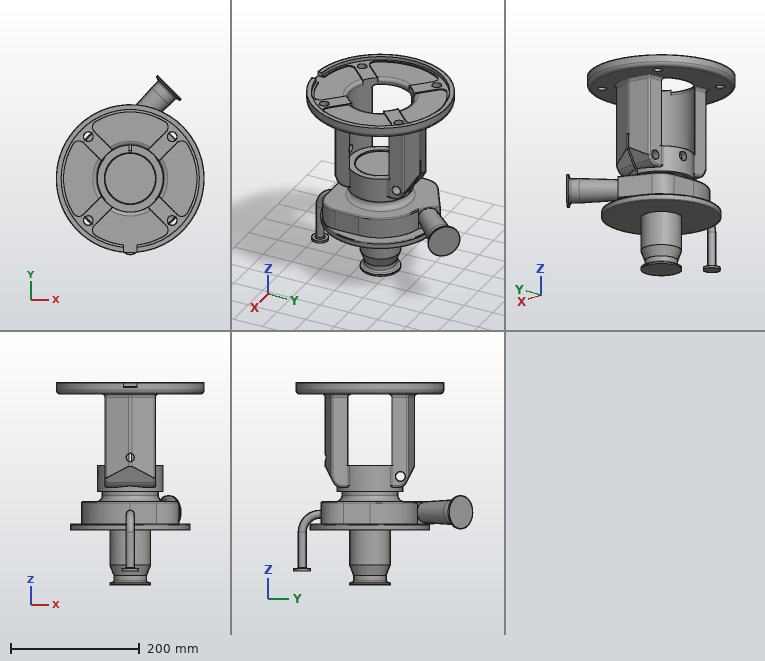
import cadquery as cq
import math

TOTAL_HEIGHT = 314.0
FLANGE_THICKNESS = 17.5
FLANGE_BOTTOM = TOTAL_HEIGHT - FLANGE_THICKNESS
COLLAR_TOP = 185.5
COLLAR_BOTTOM = 144.8
CASING_TOP = 129.0
CASING_BOTTOM = 94.5
COVER_BOTTOM = 84.8

FLANGE_RADIUS = 115.0
FLANGE_EDGE_FILLET = 6.3
RECESS_RADIUS = 107.5
RECESS_DEPTH = 5.5
BORE_RADIUS = 52.0
SECTOR_RADIUS = 103.5
SECTOR_DEPTH = 7.5
SECTOR_CORNER_FILLET = 10.0
SECTOR_LIP_FILLET = 6.0
SPOKE_WIDTH = 24.2
SPOKE_ANGLE = 45.0
NOTCH_WIDTH = 20.5
BOLT_CIRCLE_RADIUS = 92.0
SCREW_HOLE_COUNT = 4
SCREW_HOLE_DIAMETER = 14.8

LEG_WIDTH = 78.5
LEG_REACH = 69.5
LEG_INNER_REACH = 28.3
LEG_RIDGE_WIDTH = 5.3
LEG_FACE_ANGLE = 15.0
LEG_BOTTOM = 151.0
LEG_CHAMFER_TOP = 184.0
LEG_CHAMFER_ANGLE = 27.0
LEG_TOE_FILLET = 15.0
LEG_EDGE_FILLET = 3.0
LEG_ROOT_FILLET = 5.0
LEG_COLLAR_FILLET = 4.0
LEG_HOLE_DIAMETER = 12.5
LEG_HOLE_HEIGHT = 197.8
SLIT_WIDTH = 3.5
SLIT_TOP = 207.2
CLAMP_HOLE_REACH = 47.5
CLAMP_HOLE_HEIGHT = 168.3

COLLAR_RADIUS = 51.2
COLLAR_HOLE_HEIGHT = 173.3
SHAFT_RADIUS = 40.2
SHAFT_RECESS = 2.0
SHAFT_TOP = COLLAR_TOP - SHAFT_RECESS
SHAFT_CHAMFER = 1.0
NECK_RADIUS = 43.5
NECK_FILLET = 10.0

CASING_RADIUS = 75.7
CASING_CORNER_RADIUS = 34.5
CASING_EDGE_FILLET = 2.0
COVER_RADIUS = 93.0
COVER_EDGE_FILLET = 1.3
OUTLET_WALL_ANGLE = 30.0
OUTLET_FACE = 63.0

INLET_RADIUS = 31.7
INLET_CONE_TOP = 30.8
INLET_CONE_BOTTOM = 14.5
INLET_NECK_RADIUS = 25.5
INLET_FERRULE_RADIUS = 31.7

OUTLET_DIRECTION = 45.0
OUTLET_OFFSET = 57.0
OUTLET_HEIGHT = 112.7
OUTLET_END = 143.2
OUTLET_CONE_END = 123.5
OUTLET_ROOT_RADIUS = 16.3
OUTLET_RADIUS = 19.0
OUTLET_FERRULE_RADIUS = 25.7

FERRULE_RIM = 2.8
FERRULE_SLOPE = 1.3
FERRULE_FLARE = 2.5

DRAIN_RADIUS = 6.3
DRAIN_HEIGHT = 109.5
DRAIN_REACH = 105.2
DRAIN_BEND_RADIUS = 28.0
DRAIN_PIPE_BOTTOM = 27.0
DRAIN_FERRULE_RADIUS = 13.2
DRAIN_FERRULE_BOTTOM = 21.5
DRAIN_FERRULE_TOP = 25.0
DRAIN_FLARE = 1.5


def disc(radius, bottom, top):
    return cq.Workplane("XY").workplane(offset=bottom).circle(radius).extrude(top - bottom)


def box(x_size, y_size, bottom, top):
    return cq.Workplane("XY").workplane(offset=bottom).rect(x_size, y_size).extrude(top - bottom)


def sector_cutter():
    """Four shallow sectors between the spokes, running out over a rounded lip into the bore."""
    floor = TOTAL_HEIGHT - SECTOR_DEPTH
    sectors = disc(SECTOR_RADIUS, floor, TOTAL_HEIGHT)
    spoke = box(2 * FLANGE_RADIUS, SPOKE_WIDTH, floor - FLANGE_THICKNESS, TOTAL_HEIGHT)
    spokes = spoke.rotate((0, 0, 0), (0, 0, 1), SPOKE_ANGLE)
    spokes = spokes.union(spokes.mirror("YZ"))
    sectors = sectors.cut(spokes)
    sectors = sectors.cut(disc(BORE_RADIUS, floor, TOTAL_HEIGHT))
    corner_limit = (SECTOR_RADIUS + BORE_RADIUS) / 2
    corners = [
        edge
        for edge in sectors.edges("|Z").vals()
        if math.hypot(edge.Center().x, edge.Center().y) > corner_limit
    ]
    sectors = sectors.newObject(corners).fillet(SECTOR_CORNER_FILLET)
    lip = (
        cq.Workplane("XZ")
        .moveTo(BORE_RADIUS, floor)
        .lineTo(BORE_RADIUS + SECTOR_LIP_FILLET, floor)
        .radiusArc((BORE_RADIUS, floor - SECTOR_LIP_FILLET), -SECTOR_LIP_FILLET)
        .close()
        .revolve(360, (0, 0, 0), (0, 1, 0))
        .cut(spokes)
    )
    return sectors.union(lip)


def leg():
    """Lantern leg on the -Y side: a ridged bar with a sloping, rounded toe."""
    half_width = LEG_WIDTH / 2
    half_ridge = LEG_RIDGE_WIDTH / 2
    corner_reach = LEG_REACH - (half_width - half_ridge) * math.tan(math.radians(LEG_FACE_ANGLE))
    bar = (
        cq.Workplane("XY")
        .workplane(offset=LEG_BOTTOM)
        .polyline([
            (-half_width, -LEG_INNER_REACH),
            (-half_width, -corner_reach),
            (-half_ridge, -LEG_REACH),
            (half_ridge, -LEG_REACH),
            (half_width, -corner_reach),
            (half_width, -LEG_INNER_REACH),
        ])
        .close()
        .extrude(FLANGE_BOTTOM - LEG_BOTTOM)
    )
    toe_run = (LEG_CHAMFER_TOP - LEG_BOTTOM) * math.tan(math.radians(LEG_CHAMFER_ANGLE))
    toe_reach = LEG_REACH - toe_run
    side_profile = (
        cq.Workplane("YZ")
        .polyline([
            (-LEG_INNER_REACH, FLANGE_BOTTOM),
            (-LEG_REACH, FLANGE_BOTTOM),
            (-LEG_REACH, LEG_CHAMFER_TOP),
            (-toe_reach, LEG_BOTTOM),
            (-LEG_INNER_REACH, LEG_BOTTOM),
        ])
        .close()
        .extrude(half_width, both=True)
    )
    toe_edge = cq.selectors.NearestToPointSelector((0, -toe_reach, LEG_BOTTOM))
    side_profile = side_profile.edges(toe_edge).fillet(LEG_TOE_FILLET)
    bar = bar.intersect(side_profile)
    for side in (">X", "<X"):
        bar = bar.faces(side).edges("not(>Y or >Z)").fillet(LEG_EDGE_FILLET)
    return bar


def collar_fillets():
    """Concave fillets where the four leg sides run into the collar, each reaching back into its metal."""
    side = LEG_WIDTH / 2
    center_x = side + LEG_COLLAR_FILLET
    center_distance = COLLAR_RADIUS + LEG_COLLAR_FILLET
    center_y = math.sqrt(center_distance ** 2 - center_x ** 2)
    collar_share = COLLAR_RADIUS / center_distance
    collar_tangent = (center_x * collar_share, center_y * collar_share)
    bottom = LEG_BOTTOM + LEG_EDGE_FILLET
    fillet = (
        cq.Workplane("XY")
        .workplane(offset=bottom)
        .moveTo(side, center_y)
        .radiusArc(collar_tangent, -LEG_COLLAR_FILLET)
        .lineTo(LEG_INNER_REACH, LEG_INNER_REACH)
        .close()
        .extrude(COLLAR_TOP - bottom)
    )
    pair = fillet.union(fillet.mirror("YZ"))
    return pair.union(pair.mirror("XZ"))


def lantern():
    """Motor flange on two legs that end on the slit clamp collar."""
    flange = disc(FLANGE_RADIUS, FLANGE_BOTTOM, TOTAL_HEIGHT).faces("<Z").edges().fillet(FLANGE_EDGE_FILLET)
    front_leg = leg()
    legs = front_leg.union(front_leg.mirror("XZ"))
    frame = flange.union(legs)
    underside = cq.selectors.NearestToPointSelector((0, 0, FLANGE_BOTTOM))
    frame = frame.faces(underside).edges("%LINE").fillet(LEG_ROOT_FILLET)
    frame = frame.cut(disc(BORE_RADIUS, COLLAR_TOP, TOTAL_HEIGHT))
    frame = frame.cut(disc(RECESS_RADIUS, TOTAL_HEIGHT - RECESS_DEPTH, TOTAL_HEIGHT))
    frame = frame.cut(sector_cutter())
    notch_inner_end = SECTOR_RADIUS - SECTOR_CORNER_FILLET
    notch = box(NOTCH_WIDTH, FLANGE_RADIUS - notch_inner_end, TOTAL_HEIGHT - SECTOR_DEPTH, TOTAL_HEIGHT)
    frame = frame.cut(notch.translate((0, -(FLANGE_RADIUS + notch_inner_end) / 2, 0)))
    screw_holes = (
        cq.Workplane("XY")
        .workplane(offset=FLANGE_BOTTOM)
        .polarArray(BOLT_CIRCLE_RADIUS, SPOKE_ANGLE, 360, SCREW_HOLE_COUNT)
        .circle(SCREW_HOLE_DIAMETER / 2)
        .extrude(FLANGE_THICKNESS)
    )
    frame = frame.cut(screw_holes)
    frame = frame.union(disc(COLLAR_RADIUS, COLLAR_BOTTOM, COLLAR_TOP))
    frame = frame.union(collar_fillets())

    leg_hole = (
        cq.Workplane("XZ").center(0, LEG_HOLE_HEIGHT).circle(LEG_HOLE_DIAMETER / 2).extrude(LEG_REACH)
    )
    slit = box(SLIT_WIDTH, LEG_REACH, COLLAR_BOTTOM, SLIT_TOP).translate((0, LEG_REACH / 2, 0))
    clamp_hole = (
        cq.Workplane("YZ")
        .center(CLAMP_HOLE_REACH, CLAMP_HOLE_HEIGHT)
        .circle(SCREW_HOLE_DIAMETER / 2)
        .extrude(LEG_WIDTH, both=True)
    )
    collar_hole = (
        cq.Workplane("YZ")
        .center(0, COLLAR_HOLE_HEIGHT)
        .circle(SCREW_HOLE_DIAMETER / 2)
        .extrude(-COLLAR_RADIUS)
    )
    shaft_seat = disc(SHAFT_RADIUS, COLLAR_BOTTOM, COLLAR_TOP)
    for cutter in (leg_hole, slit, clamp_hole, collar_hole, shaft_seat):
        frame = frame.cut(cutter)
    return frame


def shaft_and_neck():
    """Shaft filling the collar, and the neck flaring onto the casing."""
    return (
        cq.Workplane("XZ")
        .moveTo(0, CASING_BOTTOM)
        .lineTo(NECK_RADIUS + NECK_FILLET, CASING_BOTTOM)
        .lineTo(NECK_RADIUS + NECK_FILLET, CASING_TOP)
        .radiusArc((NECK_RADIUS, CASING_TOP + NECK_FILLET), NECK_FILLET)
        .lineTo(NECK_RADIUS, COLLAR_BOTTOM)
        .lineTo(SHAFT_RADIUS, COLLAR_BOTTOM)
        .lineTo(SHAFT_RADIUS, SHAFT_TOP - SHAFT_CHAMFER)
        .lineTo(SHAFT_RADIUS - SHAFT_CHAMFER, SHAFT_TOP)
        .lineTo(0, SHAFT_TOP)
        .close()
        .revolve(360, (0, 0, 0), (0, 1, 0))
    )


def casing():
    """Volute with a tangential outlet shoulder, closed below by a round cover."""
    corner_center = CASING_RADIUS - CASING_CORNER_RADIUS
    wall_angle = math.radians(OUTLET_WALL_ANGLE)

    def on_corner(center_x, center_y, angle):
        return (
            center_x + CASING_CORNER_RADIUS * math.cos(angle),
            center_y + CASING_CORNER_RADIUS * math.sin(angle),
        )

    wall_start = on_corner(-corner_center, corner_center, math.pi / 2 + wall_angle)
    wall_middle = on_corner(-corner_center, corner_center, (3 * math.pi / 2 + wall_angle) / 2)
    corner_middle = on_corner(corner_center, -corner_center, -math.pi / 4)

    face_sum = OUTLET_FACE * math.sqrt(2)
    wall_length = (face_sum - sum(wall_start)) / (math.cos(wall_angle) + math.sin(wall_angle))
    wall_end = (
        wall_start[0] + wall_length * math.cos(wall_angle),
        wall_start[1] + wall_length * math.sin(wall_angle),
    )
    round_end_angle = math.pi / 4 + math.acos(OUTLET_FACE / CASING_RADIUS)

    def on_round(angle):
        return (CASING_RADIUS * math.cos(angle), CASING_RADIUS * math.sin(angle))

    body = (
        cq.Workplane("XY")
        .workplane(offset=CASING_BOTTOM)
        .moveTo(-CASING_RADIUS, 0)
        .threePointArc(on_round(-3 * math.pi / 4), (0, -CASING_RADIUS))
        .lineTo(corner_center, -CASING_RADIUS)
        .threePointArc(corner_middle, (CASING_RADIUS, -corner_center))
        .lineTo(CASING_RADIUS, 0)
        .threePointArc(on_round(round_end_angle / 2), on_round(round_end_angle))
        .lineTo(*wall_end)
        .lineTo(*wall_start)
        .threePointArc(wall_middle, (-CASING_RADIUS, corner_center))
        .close()
        .extrude(CASING_TOP - CASING_BOTTOM)
        .faces(">Z")
        .edges()
        .fillet(CASING_EDGE_FILLET)
    )
    cover = disc(COVER_RADIUS, COVER_BOTTOM, CASING_BOTTOM).edges().fillet(COVER_EDGE_FILLET)
    return body.union(cover)


def ferruled_pipe(neck_radius, ferrule_radius, pipe_outline):
    """Round pipe standing on a ferrule at Z = 0; pipe_outline lists its (radius, height) points upward."""
    rim_top = FERRULE_RIM + FERRULE_SLOPE
    outline = (
        cq.Workplane("XZ")
        .lineTo(ferrule_radius, 0)
        .lineTo(ferrule_radius, FERRULE_RIM)
        .lineTo(neck_radius + FERRULE_FLARE, rim_top)
        .radiusArc((neck_radius, rim_top + FERRULE_FLARE), FERRULE_FLARE)
    )
    for radius, height in pipe_outline:
        outline = outline.lineTo(radius, height)
    pipe_end = pipe_outline[-1][1]
    return outline.lineTo(0, pipe_end).close().revolve(360, (0, 0, 0), (0, 1, 0))


def inlet():
    """Inlet pipe under the cover, narrowing through a cone to its ferrule."""
    return ferruled_pipe(INLET_NECK_RADIUS, INLET_FERRULE_RADIUS, [
        (INLET_NECK_RADIUS, INLET_CONE_BOTTOM),
        (INLET_RADIUS, INLET_CONE_TOP),
        (INLET_RADIUS, CASING_BOTTOM),
    ])


def outlet():
    """Outlet pipe, laid level and pointing away from the casing between +X and +Y."""
    pipe = ferruled_pipe(OUTLET_RADIUS, OUTLET_FERRULE_RADIUS, [
        (OUTLET_RADIUS, OUTLET_END - OUTLET_CONE_END),
        (OUTLET_ROOT_RADIUS, OUTLET_END - OUTLET_FACE),
    ])
    return (
        pipe
        .rotate((0, 0, 0), (0, 1, 0), -90)
        .translate((OUTLET_END, OUTLET_OFFSET, OUTLET_HEIGHT))
        .rotate((0, 0, 0), (0, 0, 1), OUTLET_DIRECTION)
    )


def drain():
    """Drain pipe leaving the -Y side of the casing and bending straight down to a small ferrule."""
    bend_start = DRAIN_REACH - DRAIN_BEND_RADIUS
    bend_bottom = DRAIN_HEIGHT - DRAIN_BEND_RADIUS
    root_reach = CASING_RADIUS / 2
    path = (
        cq.Workplane("YZ")
        .moveTo(-root_reach, DRAIN_HEIGHT)
        .lineTo(-bend_start, DRAIN_HEIGHT)
        .radiusArc((-DRAIN_REACH, bend_bottom), -DRAIN_BEND_RADIUS)
        .lineTo(-DRAIN_REACH, DRAIN_FERRULE_TOP)
    )
    pipe = (
        cq.Workplane("XZ", origin=(0, -root_reach, DRAIN_HEIGHT)).circle(DRAIN_RADIUS).sweep(path)
    )
    rim = disc(DRAIN_FERRULE_RADIUS, DRAIN_FERRULE_BOTTOM, DRAIN_FERRULE_TOP)
    flare = (
        disc(DRAIN_RADIUS + DRAIN_FLARE, DRAIN_FERRULE_TOP, DRAIN_PIPE_BOTTOM)
        .faces(">Z")
        .chamfer(DRAIN_FLARE)
    )
    return pipe.union(rim.union(flare).translate((0, -DRAIN_REACH, 0)))


pump = lantern()
for component in (shaft_and_neck(), casing(), inlet(), outlet(), drain()):
    pump = pump.union(component)
result = cq.Workplane(pump.solids().val())